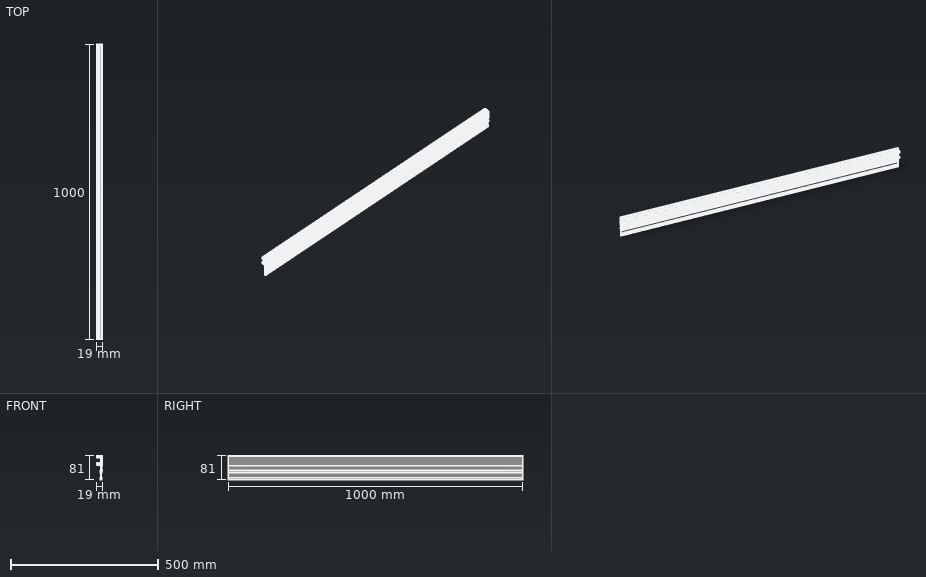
import cadquery as cq

length = 1000.0
width = 19.0
height = 81.0

left = -width / 2
right = width / 2
top = height / 2
bottom = -height / 2

backing_thickness = 2.5
backing_height = 34.0

wall_thickness = 3.0
wall_right = right - backing_thickness
wall_left = wall_right - wall_thickness
arm_thickness = 2.5
arm_pair_height = 31.0

lip_width = 5.0
lip_height = 7.0
root_width = 3.0

ledge_top = -7.5
ledge_height = 3.0

bead_width = 5.5
bead_height = 7.5
bead_center_x = 5.0
upper_bead_top = -9.0
web_thickness = 1.5

corner_radius = 2.0


def bar(x_min, x_max, z_min, z_max):
    """Full-length rectangular bar between the given X and Z limits."""
    return (
        cq.Workplane("XY")
        .box(x_max - x_min, length, z_max - z_min)
        .translate(((x_min + x_max) / 2, 0, (z_min + z_max) / 2))
    )


def rounded_bar(x_min, x_max, z_min, z_max):
    """Full-length bar with all four long edges rounded."""
    return bar(x_min, x_max, z_min, z_max).edges("|Y").fillet(corner_radius)


def arm(outer_z, inward):
    """Arm whose outer face lies at outer_z; inward is the Z direction (+1 or -1) of its lip and root."""

    def span(depth):
        return sorted((outer_z, outer_z + inward * depth))

    plate = bar(left + corner_radius, wall_right, *span(arm_thickness))
    lip = rounded_bar(left, left + lip_width, *span(lip_height))
    root = bar(wall_left - root_width, wall_right, *span(lip_height))
    return plate.union(lip).union(root)


def bead(z_top):
    """Rounded bead centered on the web, with its top at z_top."""
    half_width = bead_width / 2
    return rounded_bar(bead_center_x - half_width, bead_center_x + half_width, z_top - bead_height, z_top)


def make_rail():
    lower_bead_top = bottom + bead_height
    wall = bar(wall_left, wall_right, upper_bead_top - bead_height / 2, top)
    ledge = bar(wall_left, right, ledge_top - ledge_height, ledge_top)
    web = bar(
        bead_center_x - web_thickness / 2,
        bead_center_x + web_thickness / 2,
        lower_bead_top - bead_height / 2,
        upper_bead_top - bead_height / 2,
    )
    rail = wall.union(ledge).union(web)
    for z_top in (upper_bead_top, lower_bead_top):
        rail = rail.union(bead(z_top))
    rail = rail.union(arm(top, -1))
    rail = rail.union(arm(top - arm_pair_height, 1))
    return rail


def make_backing_strip():
    return bar(wall_right, right, top - backing_height, top)


rail = make_rail()
backing_strip = make_backing_strip()

result = cq.Compound.makeCompound([rail.val(), backing_strip.val()])